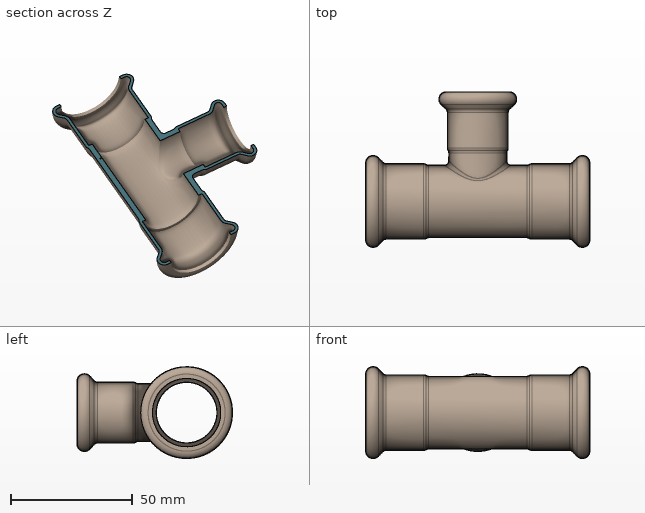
import cadquery as cq
import math

run_length = 92.0
branch_reach = 45.0
wall = 1.5
body_wall = 2.5
junction_fillet = 1.7

run_bead_diameter = 37.7
run_socket_diameter = 31.0
run_body_diameter = 29.8
run_socket_depth = 23.8

branch_bead_diameter = 31.9
branch_socket_diameter = 25.0
branch_body_diameter = 23.8
branch_socket_depth = 23.0

bead_radius = 3.0
neck_radius = 1.8
neck_depth = 8.4
step_length = 2.0
cone_angle = math.radians(45)


def bead_and_neck(profile, center_radius, bead_arc, neck_end, neck_arc):
    """Add the bead arc, straight cone and neck fillet to an (axial, radial) profile."""
    sin_cone = math.sin(cone_angle)
    cos_cone = math.cos(cone_angle)
    mid_angle = (math.pi + math.pi / 2 - cone_angle) / 2
    bead_mid = (bead_radius + bead_arc * math.cos(mid_angle),
                center_radius + bead_arc * math.sin(mid_angle))
    cone_start = (bead_radius + bead_arc * sin_cone, center_radius + bead_arc * cos_cone)
    neck_center_radius = neck_end + neck_arc
    neck_start = (neck_depth - neck_arc * sin_cone, neck_center_radius - neck_arc * cos_cone)
    neck_mid = (neck_depth - neck_arc * math.sin(cone_angle / 2),
                neck_center_radius - neck_arc * math.cos(cone_angle / 2))
    return (
        profile.threePointArc(bead_mid, cone_start)
        .lineTo(*neck_start)
        .threePointArc(neck_mid, (neck_depth, neck_end))
    )


def outer_end(bead_diameter, socket_diameter, body_diameter, socket_depth):
    """Solid press end with its mouth at the origin, running along +X."""
    center_radius = bead_diameter / 2 - bead_radius
    socket_radius = socket_diameter / 2
    body_radius = body_diameter / 2
    step_end = socket_depth + step_length
    step_middle = (socket_depth + step_length / 2, (socket_radius + body_radius) / 2)
    profile = cq.Workplane("XY").lineTo(0, center_radius)
    profile = bead_and_neck(profile, center_radius, bead_radius, socket_radius, neck_radius)
    profile = (
        profile.lineTo(socket_depth, socket_radius)
        .tangentArcPoint(step_middle, relative=False)
        .tangentArcPoint((step_end, body_radius), relative=False)
        .lineTo(step_end, 0)
        .close()
    )
    return profile.revolve(360, (0, 0, 0), (1, 0, 0))


def socket_cavity(bead_diameter, socket_diameter, socket_depth):
    """Space inside a press end: mouth, seal groove and bore down to the tube stop."""
    center_radius = bead_diameter / 2 - bead_radius
    bore_radius = socket_diameter / 2 - wall
    profile = (
        cq.Workplane("XY")
        .lineTo(0, bore_radius)
        .lineTo(wall, bore_radius)
        .lineTo(wall, center_radius)
    )
    profile = bead_and_neck(
        profile, center_radius, bead_radius - wall, bore_radius, neck_radius + wall
    )
    profile = profile.lineTo(socket_depth, bore_radius).lineTo(socket_depth, 0).close()
    return profile.revolve(360, (0, 0, 0), (1, 0, 0))


def at_left(shape):
    """Place a press end at the -X mouth of the run."""
    return shape.translate((-run_length / 2, 0, 0))


def at_right(shape):
    """Place a press end at the +X mouth of the run."""
    return at_left(shape).mirror("YZ")


def at_branch(shape):
    """Place a press end at the +Y mouth of the branch."""
    return shape.rotate((0, 0, 0), (0, 0, 1), -90).translate((0, branch_reach, 0))


def run_cylinder(diameter, end_inset):
    length = run_length - 2 * end_inset
    return cq.Workplane("YZ").circle(diameter / 2).extrude(length / 2, both=True)


def branch_cylinder(diameter, end_inset):
    return cq.Workplane("XZ").circle(diameter / 2).extrude(-(branch_reach - end_inset))


outer_run = run_cylinder(run_body_diameter, run_socket_depth + step_length)
outer_branch = branch_cylinder(branch_body_diameter, branch_socket_depth + step_length)
body = outer_run.union(outer_branch)
run_body_radius = run_body_diameter / 2
saddle_zone = cq.selectors.BoxSelector(
    (-run_body_radius, 0, -run_body_radius),
    (run_body_radius, run_body_radius, run_body_radius),
)
body = body.edges(saddle_zone).fillet(junction_fillet)

run_end = outer_end(run_bead_diameter, run_socket_diameter, run_body_diameter, run_socket_depth)
branch_end = outer_end(
    branch_bead_diameter, branch_socket_diameter, branch_body_diameter, branch_socket_depth
)
body = body.union(at_left(run_end)).union(at_right(run_end)).union(at_branch(branch_end))

run_cavity = socket_cavity(run_bead_diameter, run_socket_diameter, run_socket_depth)
branch_cavity = socket_cavity(branch_bead_diameter, branch_socket_diameter, branch_socket_depth)
run_bore = run_cylinder(run_body_diameter - 2 * body_wall, run_socket_depth)
branch_bore = branch_cylinder(branch_body_diameter - 2 * body_wall, branch_socket_depth)

result = (
    body.cut(run_bore)
    .cut(branch_bore)
    .cut(at_left(run_cavity))
    .cut(at_right(run_cavity))
    .cut(at_branch(branch_cavity))
)